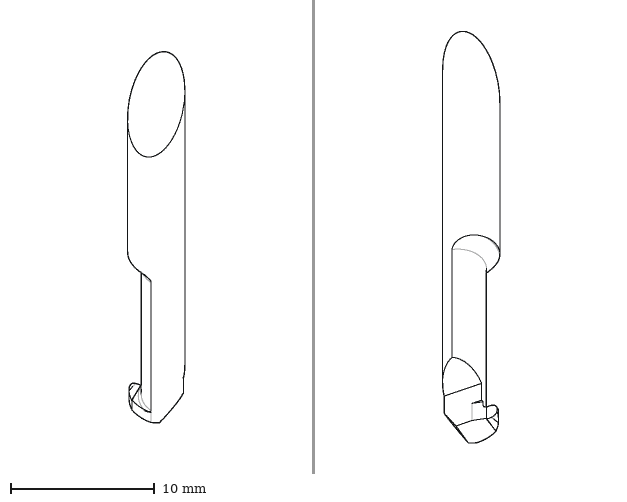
import cadquery as cq
import math

shank_radius = 2.0
total_length = 35.69
end_cut_angle = 30.0
end_cut_height = 2 * shank_radius / math.tan(math.radians(end_cut_angle))

neck_radius = 2.0
neck_axis_x = 1.05
shoulder_z = 16.2
shoulder_fillet = 0.95
head_top = 1.17
head_fillet = 0.2

head_bottom = 0.07
heel_x = 0.5
heel_y = -math.sqrt(shank_radius**2 - heel_x**2)
flank_mid = (-0.35, -1.83)

flat_y = 0.25
flat_top = 3.3
runout_angle = 45.0

ramp_top = 1.7
ramp_start_x = -1.2
ramp_length = 1.0

back_chamfer_height = 1.7
back_chamfer_angle = 30.0
back_chamfer_width = back_chamfer_height * math.tan(math.radians(back_chamfer_angle))

joint_x = -1.18
tip_x = -shank_radius
tip_corner_radius = 0.5
tip_land = 0.17
tip_land_relief = 0.03
tip_heel_y = -1.47
tip_flank_mid = (-1.72, -0.8)
side_clearance = 0.1

margin = 1.0


def oblique_end():
    """Wedge removed above the sloping top face, which is highest at +Y."""
    rise = margin / math.tan(math.radians(end_cut_angle))
    low = (-shank_radius - margin, total_length - end_cut_height - rise)
    high = (shank_radius + margin, total_length + rise)
    return (
        cq.Workplane("YZ")
        .polyline([low, high, (low[0], high[1])])
        .close()
        .extrude(shank_radius + margin, both=True)
    )


def neck_relief():
    """Ring around the shifted neck axis, rounded into the shoulder and the head."""
    outer = neck_radius + 2 * shank_radius
    diagonal = 1 - math.sqrt(0.5)
    shoulder_mid = (neck_radius + shoulder_fillet * diagonal, shoulder_z - shoulder_fillet * diagonal)
    head_mid = (neck_radius + head_fillet * diagonal, head_top + head_fillet * diagonal)
    return (
        cq.Workplane("XZ")
        .moveTo(neck_radius + head_fillet, head_top)
        .lineTo(outer, head_top)
        .lineTo(outer, shoulder_z)
        .lineTo(neck_radius + shoulder_fillet, shoulder_z)
        .threePointArc(shoulder_mid, (neck_radius, shoulder_z - shoulder_fillet))
        .lineTo(neck_radius, head_top + head_fillet)
        .threePointArc(head_mid, (neck_radius + head_fillet, head_top))
        .close()
        .revolve(360, (0, 0, 0), (0, 1, 0))
        .translate((neck_axis_x, 0, 0))
    )


def flat_relief():
    """Space above the flat on the +Y side, ending in a sloping run-out."""
    outer = shank_radius + margin
    runout_top = flat_top + (outer - flat_y) / math.tan(math.radians(runout_angle))
    return (
        cq.Workplane("YZ")
        .polyline([
            (flat_y, -margin),
            (outer, -margin),
            (outer, runout_top),
            (flat_y, flat_top),
        ])
        .close()
        .extrude(outer, both=True)
    )


def chip_ramp():
    """Space above the cutting edge, rising along a ramp to the flat."""
    return (
        cq.Workplane("XY")
        .workplane(offset=-margin)
        .polyline([
            (tip_x - margin, 0),
            (ramp_start_x, 0),
            (ramp_start_x + ramp_length, flat_y),
            (ramp_start_x + ramp_length, flat_y + margin),
            (tip_x - margin, flat_y + margin),
        ])
        .close()
        .extrude(ramp_top + margin)
    )


def back_chamfer():
    """Sloping corner removed from the +X side at the lower end."""
    return (
        cq.Workplane("XZ")
        .polyline([
            (shank_radius - back_chamfer_width, 0),
            (shank_radius, back_chamfer_height),
            (shank_radius + margin, back_chamfer_height),
            (shank_radius + margin, 0),
        ])
        .close()
        .extrude(shank_radius + margin, both=True)
    )


def head_trim():
    """Space in front of the joint and outside the curved head flank."""
    outer = -shank_radius - margin
    return (
        cq.Workplane("XY")
        .moveTo(joint_x, shank_radius)
        .lineTo(joint_x, tip_heel_y)
        .threePointArc(flank_mid, (heel_x, heel_y))
        .lineTo(heel_x, outer)
        .lineTo(outer, outer)
        .lineTo(outer, shank_radius)
        .close()
        .extrude(head_top)
    )


def make_bar():
    bar = (
        cq.Workplane("XY")
        .workplane(offset=head_bottom)
        .circle(shank_radius)
        .extrude(total_length - head_bottom)
    )
    cutters = (oblique_end(), neck_relief(), flat_relief(), chip_ramp(), back_chamfer(), head_trim())
    for cutter in cutters:
        bar = bar.cut(cutter)
    return bar


def make_tip():
    plan = (
        cq.Workplane("XY")
        .moveTo(tip_x, 0)
        .lineTo(tip_x + tip_land_relief, -tip_land)
        .threePointArc(tip_flank_mid, (joint_x, tip_heel_y))
        .lineTo(joint_x, 0)
        .close()
        .extrude(head_top)
    )
    front = (
        cq.Workplane("XZ")
        .center((tip_x + joint_x) / 2, head_top / 2)
        .rect(joint_x - tip_x, head_top)
        .extrude(-tip_heel_y)
        .edges("|Y and <X")
        .fillet(tip_corner_radius)
    )
    side = (
        cq.Workplane("YZ")
        .workplane(offset=tip_x)
        .polyline([
            (0, 0),
            (0, head_top),
            (tip_heel_y, head_top - side_clearance),
            (tip_heel_y, side_clearance),
        ])
        .close()
        .extrude(joint_x - tip_x)
    )
    return plan.intersect(front).intersect(side)


bar = make_bar()
tip = make_tip()
result = cq.Compound.makeCompound([bar.val(), tip.val()])